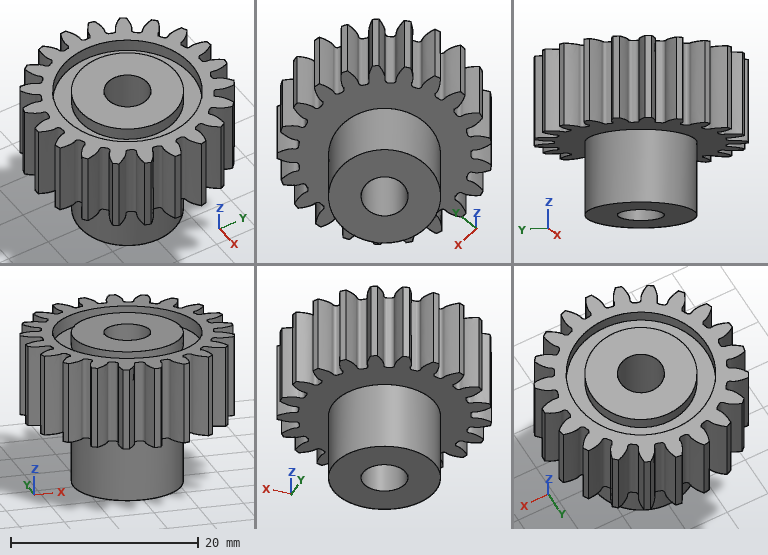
import cadquery as cq
import math

overall_width = 22.98
gear_height = 9.0
hub_height = 8.0
total_height = hub_height + gear_height
hub_diameter = 12.0
bore_diameter = 5.0
recess_diameter = 16.0
recess_depth = 1.5

tooth_count = 21
pressure_angle = math.radians(20)
addendum_factor = 1.0
dedendum_factor = 1.25
root_fillet_radius = 0.37
involute_steps = 6

tooth_pitch = 2 * math.pi / tooth_count
first_tooth_angle = -math.pi / 2


def involute(angle):
    """Involute function: polar angle swept at the given pressure angle."""
    return math.tan(angle) - angle


tip_radius_in_modules = tooth_count / 2 + addendum_factor
base_radius_in_modules = tooth_count / 2 * math.cos(pressure_angle)
tip_pressure_angle = math.acos(base_radius_in_modules / tip_radius_in_modules)
base_half_angle = tooth_pitch / 4 + involute(pressure_angle)
tip_half_angle = base_half_angle - involute(tip_pressure_angle)

tip_radius = overall_width / 2 / math.cos(tooth_pitch / 4 - tip_half_angle)
module = tip_radius / tip_radius_in_modules
base_radius = module * base_radius_in_modules
root_radius = module * (tooth_count / 2 - dedendum_factor)

fillet_center_radius = root_radius + root_fillet_radius
fillet_offset_angle = math.asin(root_fillet_radius / fillet_center_radius)
fillet_flank_radius = fillet_center_radius * math.cos(fillet_offset_angle)
fillet_center_angle = base_half_angle + fillet_offset_angle


def polar(radius, angle):
    return (radius * math.cos(angle), radius * math.sin(angle))


def flank_points(center_angle, side):
    """Involute flank from base circle to tip; side is -1 or +1 about the tooth center line."""
    points = []
    for step in range(involute_steps + 1):
        roll_angle = math.tan(tip_pressure_angle) * step / involute_steps
        radius = base_radius * math.hypot(1, roll_angle)
        half_angle = base_half_angle - involute(math.atan(roll_angle))
        points.append(polar(radius, center_angle + side * half_angle))
    return points


def fillet_middle(center_angle, side):
    """Point halfway along the root fillet on one side of a tooth."""
    center = polar(fillet_center_radius, center_angle + side * fillet_center_angle)
    toward_root = center_angle + side * fillet_center_angle + math.pi
    toward_flank = center_angle + side * (base_half_angle - math.pi / 2)
    turn = math.remainder(toward_flank - toward_root, 2 * math.pi)
    offset = polar(root_fillet_radius, toward_root + turn / 2)
    return (center[0] + offset[0], center[1] + offset[1])


def add_tooth(outline, center_angle):
    """Add one tooth, counterclockwise, and the root arc that leads to the next tooth."""
    rising = flank_points(center_angle, -1)
    falling = flank_points(center_angle, 1)[::-1]
    root_end_angle = center_angle + tooth_pitch - fillet_center_angle
    return (
        outline.threePointArc(
            fillet_middle(center_angle, -1),
            polar(fillet_flank_radius, center_angle - base_half_angle),
        )
        .lineTo(*rising[0])
        .spline(rising[1:], includeCurrent=True)
        .threePointArc(polar(tip_radius, center_angle), falling[0])
        .spline(falling[1:], includeCurrent=True)
        .lineTo(*polar(fillet_flank_radius, center_angle + base_half_angle))
        .threePointArc(
            fillet_middle(center_angle, 1),
            polar(root_radius, center_angle + fillet_center_angle),
        )
        .threePointArc(
            polar(root_radius, center_angle + tooth_pitch / 2),
            polar(root_radius, root_end_angle),
        )
    )


def make_gear():
    """Toothed disc standing on the hub."""
    start = polar(root_radius, first_tooth_angle - fillet_center_angle)
    outline = cq.Workplane("XY").workplane(offset=hub_height).moveTo(*start)
    for index in range(tooth_count):
        outline = add_tooth(outline, first_tooth_angle + index * tooth_pitch)
    return outline.close().extrude(gear_height)


def make_recess():
    """Ring-shaped cutter for the recess in the top face; a boss of hub diameter stays inside it."""
    return (
        cq.Workplane("XY")
        .workplane(offset=total_height - recess_depth)
        .circle(recess_diameter / 2)
        .circle(hub_diameter / 2)
        .extrude(recess_depth)
    )


hub = cq.Workplane("XY").circle(hub_diameter / 2).extrude(hub_height)
bore = cq.Workplane("XY").circle(bore_diameter / 2).extrude(total_height)

result = make_gear().union(hub).cut(make_recess()).cut(bore)